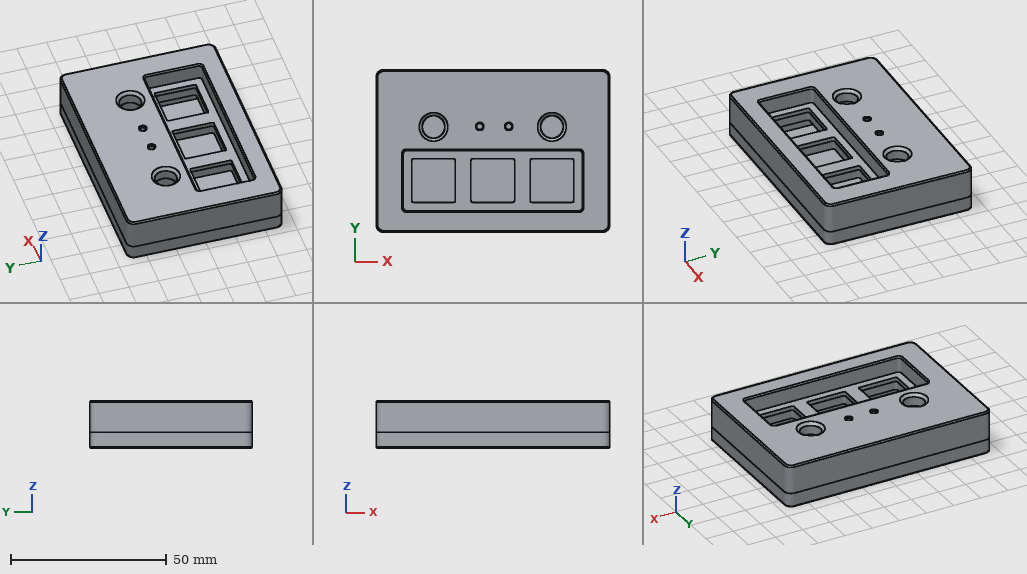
import cadquery as cq

length = 75.27
width = 52.32
height = 15.4
corner_radius = 2.5
edge_chamfer = 0.5
base_height = 5.2
cover_height = height - base_height

layout_x = -0.08

window_length = 57.5
window_width = 19.3
window_depth = 5.7
window_radius = 1.0
window_floor = height - window_depth

key_pitch = 19.05
key_count = 3
key_span = (key_count - 1) * key_pitch
key_size = 14.0
key_radius = 0.5
key_row_y = -9.525
plate_thickness = 1.5
key_relief_size = 14.1
key_relief_radius = 0.8

button_diameter = 7.2
button_relief_diameter = 7.3
button_step_z = 11.15
button_spacing = key_span
button_row_y = 7.75
button_chamfer = 1.0

light_diameter = 2.0
light_relief_diameter = 2.4
light_chamfer = 0.3
light_step_z = height - 0.6
light_center_x = 0.4
light_spacing = 9.3
light_row_y = 7.9

base_floor = 2.0
recess_margin = 1.45
recess_length = key_span + key_size + 2 * recess_margin
recess_width = 36.0


def rounded_block(size_x, size_y, size_z, radius, bottom_z):
    """Block with rounded vertical edges, standing on bottom_z."""
    block = cq.Workplane("XY", origin=(0, 0, bottom_z)).rect(size_x, size_y).extrude(size_z)
    return block.edges("|Z").fillet(radius)


def stepped_hole(diameter, relief_diameter, step_z, chamfer, x, y):
    """Cutter for a hole through the cover: wider below step_z, chamfered at the top face."""
    radius = diameter / 2
    relief_radius = relief_diameter / 2
    profile = (
        cq.Workplane("XZ")
        .moveTo(0, base_height)
        .lineTo(relief_radius, base_height)
        .lineTo(relief_radius, step_z)
        .lineTo(radius, step_z)
        .lineTo(radius, height - chamfer)
        .lineTo(radius + chamfer, height)
        .lineTo(0, height)
        .close()
    )
    return profile.revolve(360, (0, 0, 0), (0, 1, 0)).translate((x, y, 0))


def key_cutter(x):
    """Cutter for one key: a square plate opening with a slightly wider relief below it."""
    plate_bottom = window_floor - plate_thickness
    opening = rounded_block(key_size, key_size, plate_thickness, key_radius, plate_bottom)
    relief = rounded_block(
        key_relief_size, key_relief_size, plate_bottom - base_height, key_relief_radius, base_height
    )
    return opening.union(relief).translate((x, key_row_y, 0))


def make_base():
    """Lower shell: a plate with a flat recess below the keys and buttons."""
    block = rounded_block(length, width, base_height, corner_radius, 0)
    block = block.faces("<Z").chamfer(edge_chamfer)
    recess = cq.Workplane("XY", origin=(layout_x, 0, base_floor)).rect(recess_length, recess_width)
    return block.cut(recess.extrude(base_height - base_floor))


def make_cover():
    """Upper shell with the key window, the key openings and the round holes."""
    cover = rounded_block(length, width, cover_height, corner_radius, base_height)
    window = rounded_block(window_length, window_width, window_depth, window_radius, window_floor)
    cover = cover.cut(window.translate((layout_x, key_row_y, 0)))
    cover = cover.faces(">Z").edges().chamfer(edge_chamfer)

    for index in range(key_count):
        x = layout_x - key_span / 2 + index * key_pitch
        cover = cover.cut(key_cutter(x))
    for side in (-1, 1):
        x = layout_x + side * button_spacing / 2
        cover = cover.cut(
            stepped_hole(button_diameter, button_relief_diameter, button_step_z, button_chamfer, x, button_row_y)
        )
    for side in (-1, 1):
        x = light_center_x + side * light_spacing / 2
        cover = cover.cut(
            stepped_hole(light_diameter, light_relief_diameter, light_step_z, light_chamfer, x, light_row_y)
        )
    return cover


base = make_base()
cover = make_cover()

result = cq.Compound.makeCompound([base.val(), cover.val()])